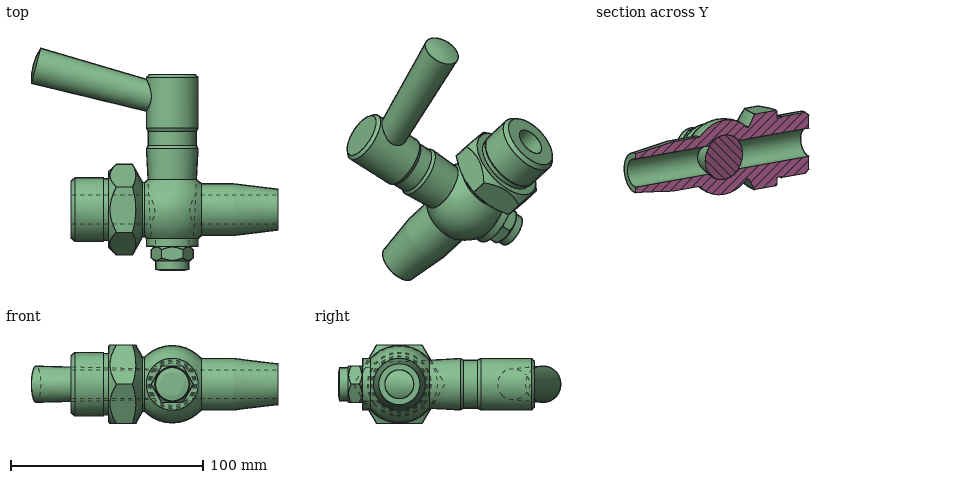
import cadquery as cq
import math


ball_radius = 20.2
bore_diameter = 15.0
thread_diameter = 33.3
thread_tip_diameter = 29.7
relief_diameter = 32.3
throat_diameter = 28.3
pipe_diameter = 27.0
spout_tip_diameter = 21.3
inlet_x = -52.8
thread_chamfer_x = -50.6
thread_end_x = -35.9
wrench_hex_start_x = -33.2
throat_start_x = -15.4
throat_end_x = 14.4
pipe_start_x = 15.3
spout_taper_x = 32.0
outlet_x = 55.1
wrench_hex_flats = 41.0
wrench_hex_face_diameter = 39.6
wrench_hex_front_chamfer = 4.1
wrench_hex_back_chamfer = 5.3
seat_boss_diameter = 27.0
seat_boss_y = -19.1
taper_bottom_y = -15.0

head_diameter = 27.0
head_top_y = 70.4
head_top_chamfer = 1.7
neck_diameter = 25.0
neck_chamfer_length = 1.7
head_bottom_y = 42.4
taper_top_y = 31.7
taper_slope = 0.053
nut_flats = 19.0
nut_height = 7.6
nut_chamfer = 1.7
nut_face_diameter = 18.2
stud_diameter = 17.3
stud_crown_diameter = 12.2
stud_end_y = -31.6
stud_crown_height = 0.5

lever_angle = 15.0
lever_axis_y = 55.9
lever_length = 73.4
lever_root_radius = 7.7
lever_end_radius = 9.5
lever_dome_height = 1.5


def turned_about_x(profile):
    """Revolve (x, radius) points about the flow axis."""
    points = [(profile[0][0], 0), *profile, (profile[-1][0], 0)]
    return cq.Workplane("XY").polyline(points).close().revolve(360, (0, 0), (1, 0))


def turned_about_y(profile):
    """Revolve (radius, y) points about the plug axis."""
    points = [(0, profile[0][1]), *profile, (0, profile[-1][1])]
    return cq.Workplane("XY").polyline(points).close().revolve(360, (0, 0), (0, 1))


def across_corners(flats):
    return flats / math.cos(math.pi / 6)


def make_plug_stem():
    """Tapered plug and crowned stud, which also shape the hole through the housing."""
    top_radius = head_diameter / 2
    bottom_radius = top_radius - taper_slope * (taper_top_y - taper_bottom_y)
    return turned_about_y([
        (top_radius, taper_top_y),
        (bottom_radius, taper_bottom_y),
        (stud_diameter / 2, taper_bottom_y),
        (stud_diameter / 2, stud_end_y + stud_crown_height),
        (stud_crown_diameter / 2, stud_end_y),
    ])


def make_wrench_hex():
    """Hexagon with corners along Y, turned down to a cone at each end."""
    corners = across_corners(wrench_hex_flats)
    length = throat_start_x - wrench_hex_start_x
    hexagon = (
        cq.Workplane("YZ", origin=(wrench_hex_start_x, 0, 0))
        .polygon(6, corners)
        .extrude(length)
    )
    envelope = turned_about_x([
        (wrench_hex_start_x, wrench_hex_face_diameter / 2),
        (wrench_hex_start_x + wrench_hex_front_chamfer, corners / 2),
        (throat_start_x - wrench_hex_back_chamfer, corners / 2),
        (throat_start_x, throat_diameter / 2),
    ])
    return hexagon.intersect(envelope)


def make_housing():
    thread = turned_about_x([
        (inlet_x, thread_tip_diameter / 2),
        (thread_chamfer_x, thread_diameter / 2),
        (thread_end_x, thread_diameter / 2),
        (thread_end_x, relief_diameter / 2),
        (wrench_hex_start_x, relief_diameter / 2),
    ])
    pipe = turned_about_x([
        (throat_start_x, throat_diameter / 2),
        (throat_end_x, throat_diameter / 2),
        (pipe_start_x, pipe_diameter / 2),
        (spout_taper_x, pipe_diameter / 2),
        (outlet_x, spout_tip_diameter / 2),
    ])
    seat_boss = turned_about_y([
        (seat_boss_diameter / 2, 0),
        (seat_boss_diameter / 2, seat_boss_y),
    ])
    ball = cq.Workplane("XY").sphere(ball_radius)
    bore = turned_about_x([(inlet_x, bore_diameter / 2), (outlet_x, bore_diameter / 2)])
    solid_body = thread.union(make_wrench_hex()).union(pipe).union(ball).union(seat_boss)
    return solid_body.cut(bore).cut(make_plug_stem())


def make_plug_head():
    """Cylindrical head and the narrower neck between head and taper."""
    head_radius = head_diameter / 2
    neck_radius = neck_diameter / 2
    return turned_about_y([
        (head_radius - head_top_chamfer, head_top_y),
        (head_radius, head_top_y - head_top_chamfer),
        (head_radius, head_bottom_y),
        (neck_radius, head_bottom_y - neck_chamfer_length),
        (neck_radius, taper_top_y + neck_chamfer_length),
        (head_radius, taper_top_y),
    ])


def make_nut():
    """Hexagon with corners along X, chamfered at both ends."""
    corners = across_corners(nut_flats)
    nut_bottom_y = seat_boss_y - nut_height
    hexagon = (
        cq.Workplane("XZ", origin=(0, seat_boss_y, 0))
        .polygon(6, corners)
        .extrude(nut_height)
    )
    envelope = turned_about_y([
        (nut_face_diameter / 2, seat_boss_y),
        (corners / 2, seat_boss_y - nut_chamfer),
        (corners / 2, nut_bottom_y + nut_chamfer),
        (nut_face_diameter / 2, nut_bottom_y),
    ])
    return hexagon.intersect(envelope)


def make_lever():
    """Round bar that thickens outward from the plug axis to a domed end."""
    dome_radius = (lever_end_radius**2 + lever_dome_height**2) / (2 * lever_dome_height)
    dome_tip = lever_length + lever_dome_height
    half_angle = math.asin(lever_end_radius / dome_radius) / 2
    dome_middle = (
        -(dome_tip - dome_radius * (1 - math.cos(half_angle))),
        dome_radius * math.sin(half_angle),
    )
    bar = (
        cq.Workplane("XY")
        .moveTo(0, 0)
        .lineTo(0, lever_root_radius)
        .lineTo(-lever_length, lever_end_radius)
        .threePointArc(dome_middle, (-dome_tip, 0))
        .close()
        .revolve(360, (0, 0), (1, 0))
    )
    return bar.rotate((0, 0, 0), (0, 0, 1), -lever_angle).translate((0, lever_axis_y, 0))


def make_plug():
    return (
        make_plug_stem()
        .union(make_plug_head())
        .union(make_lever())
        .union(make_nut())
    )


housing = make_housing()
plug = make_plug()

result = cq.Compound.makeCompound([housing.solids().val(), plug.solids().val()])